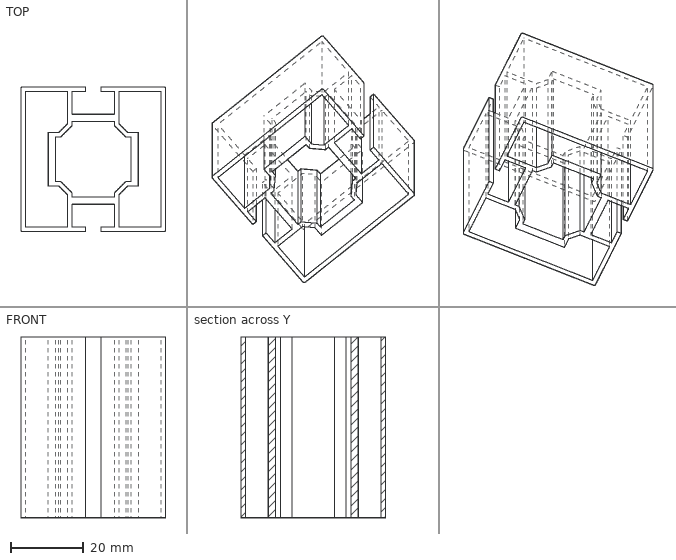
import cadquery as cq
import math

SIDE = 40.0
LENGTH = 50.0
WALL = 1.3
CORNER_RADIUS = 0.5

SLOT_WIDTH = 4.2
CHANNEL_WIDTH = 11.7

CORE_HALF = 12.45
CORE_WALL = 2.05
BULGE_HALF = 7.4
CORE_DIAGONAL = 15.1

half_side = SIDE / 2
channel_half = CHANNEL_WIDTH / 2
web_outer = channel_half + WALL
core_inner = CORE_HALF - CORE_WALL
outer_diagonal = CORE_DIAGONAL + WALL * math.sqrt(2)


def prism(outline):
    """Extrude a closed outline over the full length."""
    return cq.Workplane("XY").polyline(outline).close().extrude(LENGTH)


def square_bar(width):
    """Full-length square bar on the profile axis."""
    return cq.Workplane("XY").rect(width, width).extrude(LENGTH)


def stepped_octagon(reach, half_width, half_height, diagonal):
    """Cross-shaped outline whose inner corners are bridged by slanted faces."""
    quarter = [
        (reach, half_height),
        (diagonal - half_height, half_height),
        (half_width, diagonal - half_width),
        (half_width, reach),
    ]
    upper = quarter + [(-x, y) for x, y in reversed(quarter)]
    return upper + [(-x, -y) for x, y in upper]


def outer_shell():
    """Square tube with rounded outer corners."""
    tube = square_bar(SIDE).edges("|Z").fillet(CORNER_RADIUS)
    cavity = SIDE - 2 * WALL
    return tube.cut(square_bar(cavity))


def core():
    """Solid body of the central tube, before it is bored out."""
    return prism(stepped_octagon(CORE_HALF, web_outer, BULGE_HALF, outer_diagonal))


def core_bore():
    """Opening through the central tube."""
    return prism(stepped_octagon(core_inner, channel_half, BULGE_HALF - WALL, CORE_DIAGONAL))


def webs():
    """Four walls joining the core to the slotted faces."""
    span = half_side - WALL / 2 - core_inner
    x = channel_half + WALL / 2
    y = core_inner + span / 2
    centres = [(sx * x, sy * y) for sx in (-1, 1) for sy in (-1, 1)]
    return cq.Workplane("XY").pushPoints(centres).rect(WALL, span).extrude(LENGTH)


def slots():
    """Openings through the middle of both Y faces."""
    y = half_side - WALL / 2
    centres = [(0, -y), (0, y)]
    return cq.Workplane("XY").pushPoints(centres).rect(SLOT_WIDTH, 2 * WALL).extrude(LENGTH)


result = outer_shell().union(core()).union(webs()).cut(core_bore()).cut(slots())